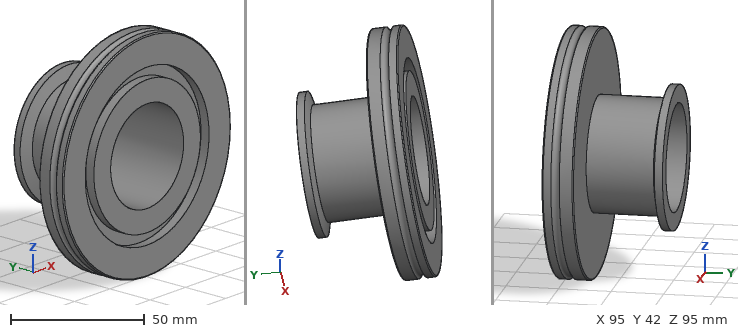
import cadquery as cq
import math

overall_length = 42.0
bore_diameter = 41.2
tube_diameter = 44.5

flange_diameter = 95.0
flange_thickness = 12.0
flange_chamfer = 0.5

rim_groove_center = 5.0
rim_groove_width = 3.2
rim_groove_depth = 1.3

face_groove_inner_diameter = 60.2
face_groove_outer_diameter = 70.0
face_groove_depth = 4.0

clamp_diameter = 55.0
clamp_rim_thickness = 3.0
clamp_taper_angle = 15.0


def ring(outer_diameter, inner_diameter, length):
    """Ring from Y = 0 toward +Y."""
    return (
        cq.Workplane("XZ")
        .circle(outer_diameter / 2)
        .circle(inner_diameter / 2)
        .extrude(-length)
    )


def body():
    """Revolved solid: flange, tube and clamp flange around the bore."""
    bore_radius = bore_diameter / 2
    tube_radius = tube_diameter / 2
    flange_radius = flange_diameter / 2
    clamp_radius = clamp_diameter / 2
    groove_front = rim_groove_center - rim_groove_width / 2
    groove_back = rim_groove_center + rim_groove_width / 2
    taper_length = (clamp_radius - tube_radius) * math.tan(math.radians(clamp_taper_angle))
    clamp_rim_start = overall_length - clamp_rim_thickness

    profile = (
        cq.Workplane("XY")
        .moveTo(bore_radius, 0)
        .lineTo(flange_radius - flange_chamfer, 0)
        .lineTo(flange_radius, flange_chamfer)
        .lineTo(flange_radius, groove_front)
        .threePointArc(
            (flange_radius - rim_groove_depth, rim_groove_center),
            (flange_radius, groove_back),
        )
        .lineTo(flange_radius, flange_thickness - flange_chamfer)
        .lineTo(flange_radius - flange_chamfer, flange_thickness)
        .lineTo(tube_radius, flange_thickness)
        .lineTo(tube_radius, clamp_rim_start - taper_length)
        .lineTo(clamp_radius, clamp_rim_start)
        .lineTo(clamp_radius, overall_length)
        .lineTo(bore_radius, overall_length)
        .close()
    )
    return profile.revolve(360, (0, 0, 0), (0, 1, 0))


face_groove = ring(face_groove_outer_diameter, face_groove_inner_diameter, face_groove_depth)
result = body().cut(face_groove)